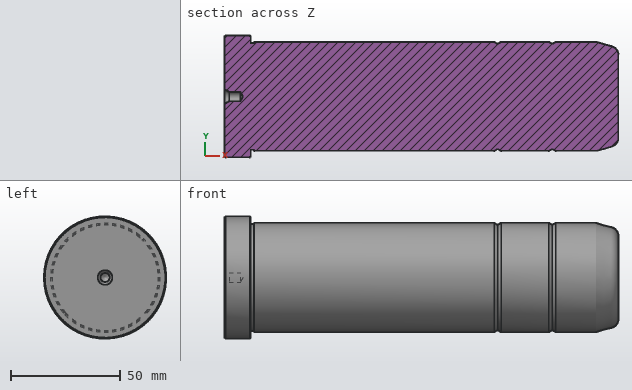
import cadquery as cq
import math

total_length = 180.0
head_diameter = 56.0
head_length = 12.0
head_chamfer = 0.5
shaft_diameter = 50.0

relief_width = 1.3
relief_depth = 0.5
relief_run_out = 0.4

groove_positions = (124.7, 149.8)
groove_width = 3.2
groove_depth = 0.9

taper_start = 169.7
taper_end = 176.8
taper_drop = 2.0
tip_face_radius = 19.6

center_mouth_diameter = 6.7
center_bore_diameter = 4.1
center_cone_angle = 60.0
center_bore_depth = 7.2
drill_point_angle = 120.0

head_radius = head_diameter / 2
shaft_radius = shaft_diameter / 2


def revolve_about_x(outline):
    """Turn a closed half outline fully around the X axis."""
    return outline.revolve(360, (0, 0, 0), (1, 0, 0))


def make_pillar():
    """Revolve the half outline of head, relief, shaft and nose about X."""
    relief_end = head_length + relief_width
    relief_radius = shaft_radius - relief_depth
    outline = (
        cq.Workplane("XY")
        .lineTo(0, head_radius - head_chamfer)
        .lineTo(head_chamfer, head_radius)
        .lineTo(head_length - head_chamfer, head_radius)
        .lineTo(head_length, head_radius - head_chamfer)
        .lineTo(head_length, relief_radius)
        .lineTo(relief_end, relief_radius)
        .lineTo(relief_end + relief_run_out, shaft_radius)
        .lineTo(taper_start, shaft_radius)
        .lineTo(taper_end, shaft_radius - taper_drop)
        .tangentArcPoint((total_length, tip_face_radius), relative=False)
        .lineTo(total_length, 0)
        .close()
    )
    return revolve_about_x(outline)


def make_v_groove(center):
    """Ring whose V section cuts groove_depth into the shaft."""
    half_width = groove_width / 2
    section = [
        (center - half_width, shaft_radius),
        (center, shaft_radius - groove_depth),
        (center + half_width, shaft_radius),
        (center + half_width, head_radius),
        (center - half_width, head_radius),
    ]
    return revolve_about_x(cq.Workplane("XY").polyline(section).close())


def make_center_hole():
    """Countersunk blind bore with a conical drill point."""
    mouth_radius = center_mouth_diameter / 2
    bore_radius = center_bore_diameter / 2
    cone_depth = (mouth_radius - bore_radius) / math.tan(math.radians(center_cone_angle / 2))
    point_depth = bore_radius / math.tan(math.radians(drill_point_angle / 2))
    section = [
        (0, 0),
        (0, mouth_radius),
        (cone_depth, bore_radius),
        (center_bore_depth, bore_radius),
        (center_bore_depth + point_depth, 0),
    ]
    return revolve_about_x(cq.Workplane("XY").polyline(section).close())


result = make_pillar()
for groove_center in groove_positions:
    result = result.cut(make_v_groove(groove_center))
result = result.cut(make_center_hole())